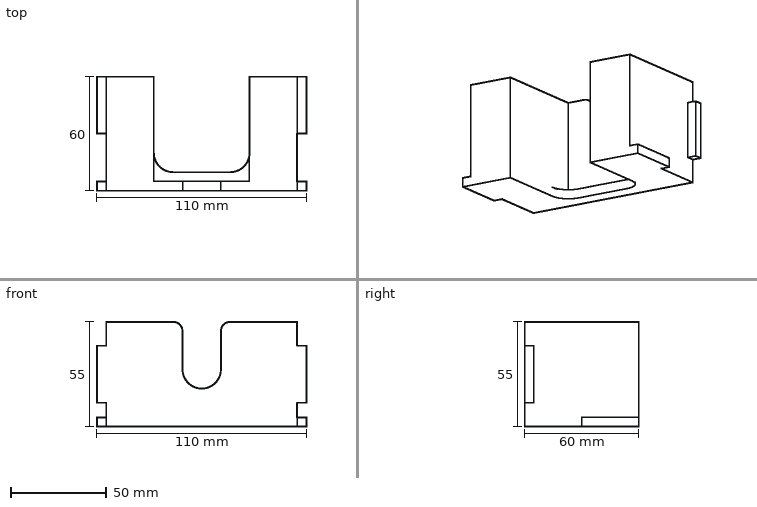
import cadquery as cq

width = 110.0
depth = 60.0
height = 55.0

thickness = 5.0
body_width = width - 2 * thickness

channel_width = 50.0
floor_opening_front = 2 * thickness
floor_corner_radius = 10.0

slot_width = 20.0
slot_radius = slot_width / 2
slot_centre_height = 30.0
slot_mouth_radius = 5.0

front_tab_height = 30.0
front_tab_bottom = (height - front_tab_height) / 2
rail_length = depth / 2


def block(size_x, y_start, y_end, z_start, z_end):
    """Box centred on X between the given Y and Z limits."""
    return (
        cq.Workplane("XY")
        .box(size_x, y_end - y_start, z_end - z_start, centered=(True, False, False))
        .translate((0, y_start, z_start))
    )


def front_slot():
    """Round-bottomed slot through the front wall, open at the top."""
    return (
        cq.Workplane("XZ")
        .moveTo(-slot_radius, height)
        .lineTo(-slot_radius, slot_centre_height)
        .threePointArc((0, slot_centre_height - slot_radius), (slot_radius, slot_centre_height))
        .lineTo(slot_radius, height)
        .close()
        .extrude(-thickness)
    )


body = block(body_width, 0, depth, 0, height)
front_tabs = block(width, 0, thickness, front_tab_bottom, front_tab_bottom + front_tab_height)
bottom_rails = block(width, depth - rail_length, depth, 0, thickness)

channel = block(channel_width, thickness, depth, thickness, height)

floor_opening = (
    block(channel_width, floor_opening_front, depth, 0, thickness)
    .edges("|Z and <Y")
    .fillet(floor_corner_radius)
)

result = body.union(front_tabs).union(bottom_rails)
result = result.cut(channel).cut(floor_opening).cut(front_slot())

mouth_corners = cq.selectors.BoxSelector(
    (-slot_width, -thickness, height - thickness / 2),
    (slot_width, 2 * thickness, height + thickness / 2),
)
result = result.edges("|Y").edges(mouth_corners).fillet(slot_mouth_radius)